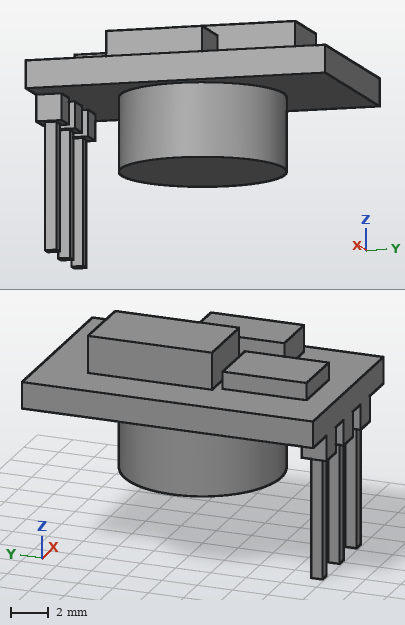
import cadquery as cq

board_width = 10.4
board_length = 16.5
board_thickness = 1.5

can_diameter = 8.9
can_height = 4.01

pin_count = 3
pin_pitch = 2.5
housing_size = 1.4
housing_height = 1.44
pin_size = 0.65
pin_reach = 8.32

large_chip = (-0.66, 1.96, 4.01, 7.03, 2.1)
small_chip = (-0.7, -4.4, 3.28, 4.75, 0.97)
side_chip = (2.97, -1.4, 2.92, 5.28, 1.5)


def make_chip(center_x, center_y, size_x, size_y, height):
    """Rectangular component standing on the board's top face."""
    chip = cq.Workplane("XY").box(size_x, size_y, height, centered=(True, True, False))
    return chip.translate((center_x, center_y, board_thickness))


def make_pins():
    """Square pins, each with a square housing against the board."""
    row_y = -board_length / 2 + housing_size / 2
    first_x = -pin_pitch * (pin_count - 1) / 2
    centers = [(first_x + i * pin_pitch, row_y) for i in range(pin_count)]
    row = cq.Workplane("XY").pushPoints(centers)
    housings = row.rect(housing_size, housing_size).extrude(-housing_height)
    pins = row.rect(pin_size, pin_size).extrude(-pin_reach)
    return housings.union(pins)


board = cq.Workplane("XY").box(
    board_width, board_length, board_thickness, centered=(True, True, False)
)
can = cq.Workplane("XY").circle(can_diameter / 2).extrude(-can_height)

result = board.union(can).union(make_pins())
for chip_sizes in (large_chip, small_chip, side_chip):
    result = result.union(make_chip(*chip_sizes))